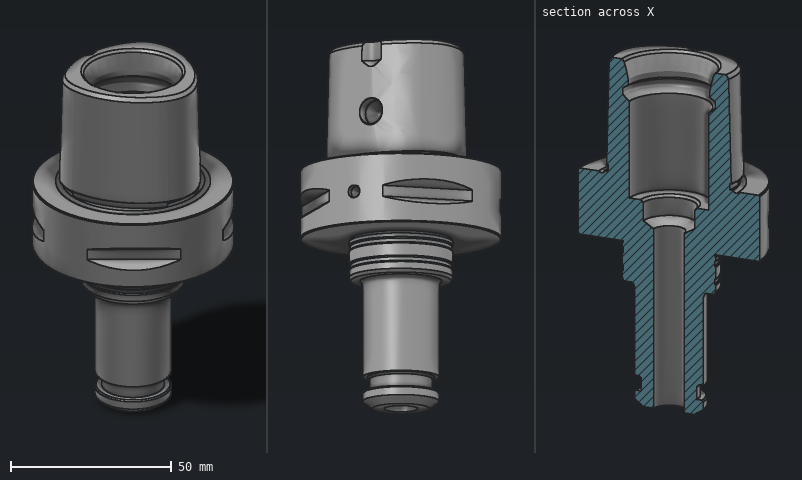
import cadquery as cq
import math

TOTAL_HEIGHT = 113.5
FLANGE_BOTTOM = 53.6
FLANGE_TOP = 75.5
TAPER_BASE = 77.7
COLLAR_BOTTOM = 40.4

FLANGE_R = 63.0 / 2
FLANGE_EDGE = 0.3
COLLAR_R = 32.5 / 2
SHANK_R = 24.0 / 2
NECK_R = 19.5 / 2
TIP_R = 17.8 / 2
THROUGH_R = 10.5 / 2

POLYGON_R = 22.0
LOBE_HEIGHT = 1.4
TAPER_SLOPE = 1 / 40
TOP_CHAMFER_HEIGHT = 1.4
TOP_CHAMFER_WIDTH = 0.9
SKIRT_STEP = 0.5
LOBE_SPACING = 120
LOBE_HALF_ANGLE = math.radians(27)
SECTOR_STEPS = 6
DRILL_TIP_SLOPE = math.tan(math.radians(31))


def polygon_point(radius, angle):
    """Point on the three-lobed curve where the outward normal has this angle."""
    reach = radius + LOBE_HEIGHT * math.cos(3 * angle)
    slide = -3 * LOBE_HEIGHT * math.sin(3 * angle)
    return (reach * math.cos(angle) - slide * math.sin(angle),
            reach * math.sin(angle) + slide * math.cos(angle))


def polygon_outline(radius, height):
    """Closed three-lobed outline, split where each lobe meets a flat."""
    third = math.radians(LOBE_SPACING)
    outline = cq.Workplane("XY", origin=(0, 0, height))
    outline = outline.moveTo(*polygon_point(radius, -LOBE_HALF_ANGLE))
    for lobe in range(3):
        middle = lobe * third
        lobe_start = middle - LOBE_HALF_ANGLE
        lobe_end = middle + LOBE_HALF_ANGLE
        for start, end in ((lobe_start, lobe_end), (lobe_end, lobe_start + third)):
            angles = [start + (end - start) * step / SECTOR_STEPS for step in range(1, SECTOR_STEPS + 1)]
            points = [polygon_point(radius, angle) for angle in angles]
            tangents = [(-math.sin(angle), math.cos(angle)) for angle in (start, end)]
            outline = outline.spline(points, tangents=tangents, includeCurrent=True)
    return outline.close().wires().val()


def polygon_loft(bottom_radius, bottom, top_radius, top):
    wires = [polygon_outline(bottom_radius, bottom), polygon_outline(top_radius, top)]
    return cq.Workplane(obj=cq.Solid.makeLoft(wires, True))


def spin(profile):
    """Turn a profile drawn in the XZ plane about the Z axis."""
    return profile.close().revolve(360, (0, 0), (0, 1))


def turned(points):
    """Solid turned about Z from (radius, height) points, closed along the axis."""
    profile = [(0, points[0][1])] + points + [(0, points[-1][1])]
    return spin(cq.Workplane("XZ").polyline(profile))


def tangent_arc_radius(width, height):
    """Radius of an arc that leaves a vertical wall and drifts this wide over this height."""
    return (width ** 2 + height ** 2) / (2 * width)


SHANK_END = 10.0
NECK_TOP_BLEND = 0.7
HEAD_TOP = 5.2
HEAD_CHAMFER = 0.5
HEAD_SIDE_BOTTOM = 2.3
HEAD_LOWER_EDGE = 0.6
BLEND_WIDTH = 0.8
BLEND_HEIGHT = 1.9


def make_shank():
    body = turned([
        (TIP_R, 0),
        (SHANK_R - HEAD_LOWER_EDGE, HEAD_SIDE_BOTTOM - HEAD_LOWER_EDGE),
        (SHANK_R, HEAD_SIDE_BOTTOM),
        (SHANK_R, HEAD_TOP - HEAD_CHAMFER),
        (SHANK_R - HEAD_CHAMFER, HEAD_TOP),
        (NECK_R, HEAD_TOP),
        (NECK_R, SHANK_END - NECK_TOP_BLEND),
        (NECK_R + NECK_TOP_BLEND, SHANK_END),
        (SHANK_R, SHANK_END),
        (SHANK_R, COLLAR_BOTTOM),
    ])
    blend = spin(
        cq.Workplane("XZ")
        .moveTo(0, COLLAR_BOTTOM)
        .lineTo(SHANK_R + BLEND_WIDTH, COLLAR_BOTTOM)
        .radiusArc((SHANK_R, COLLAR_BOTTOM - BLEND_HEIGHT), -tangent_arc_radius(BLEND_WIDTH, BLEND_HEIGHT))
        .lineTo(0, COLLAR_BOTTOM - BLEND_HEIGHT)
    )
    return body.union(blend)


COLLAR_CHAMFER_HEIGHT = 1.1
COLLAR_CHAMFER_WIDTH = 0.5
COLLAR_UNDERCUT_HEIGHT = 0.8
RING_GROOVE_DEPTH = 0.3
RING_GROOVE_FLOOR = 1.1
RING_GROOVE_SLOPE = 0.5
RING_GROOVE_HEIGHTS = (44.7, 50.6)


def make_collar():
    floor_r = COLLAR_R - RING_GROOVE_DEPTH
    half_floor = RING_GROOVE_FLOOR / 2
    half_mouth = half_floor + RING_GROOVE_SLOPE
    points = [
        (COLLAR_R - COLLAR_CHAMFER_WIDTH, COLLAR_BOTTOM),
        (COLLAR_R, COLLAR_BOTTOM + COLLAR_CHAMFER_HEIGHT),
    ]
    for height in RING_GROOVE_HEIGHTS:
        points += [
            (COLLAR_R, height - half_mouth),
            (floor_r, height - half_floor),
            (floor_r, height + half_floor),
            (COLLAR_R, height + half_mouth),
        ]
    points += [
        (COLLAR_R, FLANGE_BOTTOM - COLLAR_UNDERCUT_HEIGHT),
        (floor_r, FLANGE_BOTTOM),
    ]
    return turned(points)


SEAT_HEIGHT = 0.3
SEAT_R = 22.4
FACE_GROOVE_R = 24.2
FACE_GROOVE_DEPTH = 0.5


def make_flange():
    groove_middle = (SEAT_R + FACE_GROOVE_R) / 2
    return spin(
        cq.Workplane("XZ")
        .moveTo(0, FLANGE_BOTTOM)
        .lineTo(FLANGE_R - FLANGE_EDGE, FLANGE_BOTTOM)
        .lineTo(FLANGE_R, FLANGE_BOTTOM + FLANGE_EDGE)
        .lineTo(FLANGE_R, FLANGE_TOP - FLANGE_EDGE)
        .lineTo(FLANGE_R - FLANGE_EDGE, FLANGE_TOP)
        .lineTo(FACE_GROOVE_R, FLANGE_TOP)
        .threePointArc((groove_middle, FLANGE_TOP - FACE_GROOVE_DEPTH), (SEAT_R, FLANGE_TOP + SEAT_HEIGHT))
        .lineTo(0, FLANGE_TOP + SEAT_HEIGHT)
    )


SLOT_MIDDLE = 63.5
SLOT_FLOOR_WIDTH = 3.4
SLOT_FLOOR_DISTANCE = 27.9
SLOT_OVERSHOOT = 1.1
SLOT_CORNER = 0.3
SLOT_SIDE_ANGLE = math.radians(29)


def make_gripper_slots():
    outside = FLANGE_R + SLOT_OVERSHOOT
    half_floor = SLOT_FLOOR_WIDTH / 2
    half_bevel = half_floor + SLOT_CORNER
    bevel_end = SLOT_FLOOR_DISTANCE + SLOT_CORNER
    half_mouth = half_bevel + (outside - bevel_end) * math.tan(SLOT_SIDE_ANGLE)
    slot = (
        cq.Workplane("XZ")
        .polyline([
            (SLOT_FLOOR_DISTANCE, SLOT_MIDDLE - half_floor),
            (bevel_end, SLOT_MIDDLE - half_bevel),
            (outside, SLOT_MIDDLE - half_mouth),
            (outside, SLOT_MIDDLE + half_mouth),
            (bevel_end, SLOT_MIDDLE + half_bevel),
            (SLOT_FLOOR_DISTANCE, SLOT_MIDDLE + half_floor),
        ])
        .close()
        .extrude(FLANGE_R, both=True)
    )
    slots = cq.Workplane()
    for angle in (45, 135, 225, 315):
        slots = slots.add(slot.rotate((0, 0, 0), (0, 0, 1), angle))
    return slots.combine()


UNDERCUT_R = 21.3
UNDERCUT_FILLET = 0.6


def make_skirt():
    """Skirt under the taper: full on the three flats, turned back below the lobes."""
    skirt_radius = POLYGON_R - SKIRT_STEP
    skirt = polygon_loft(skirt_radius, FLANGE_TOP, skirt_radius, TAPER_BASE)
    seat = FLANGE_TOP + SEAT_HEIGHT
    kept = spin(
        cq.Workplane("XZ")
        .moveTo(0, FLANGE_TOP)
        .lineTo(UNDERCUT_R + UNDERCUT_FILLET, FLANGE_TOP)
        .lineTo(UNDERCUT_R + UNDERCUT_FILLET, seat)
        .radiusArc((UNDERCUT_R, seat + UNDERCUT_FILLET), UNDERCUT_FILLET)
        .lineTo(POLYGON_R + LOBE_HEIGHT, TAPER_BASE)
        .lineTo(0, TAPER_BASE)
    )
    corner_x, corner_y = polygon_point(skirt_radius, LOBE_HALF_ANGLE)
    lobe_reach = math.degrees(math.atan2(corner_y, corner_x))
    side_length = 2 * FLANGE_R
    for lobe in range(3):
        flat_start = LOBE_SPACING * lobe + lobe_reach
        flat_end = LOBE_SPACING * (lobe + 1) - lobe_reach
        wedge = (
            cq.Workplane("XY", origin=(0, 0, FLANGE_TOP))
            .polarLine(side_length, flat_start)
            .polarLineTo(side_length, flat_end)
            .close()
            .extrude(TAPER_BASE - FLANGE_TOP)
        )
        kept = kept.union(wedge)
    return skirt.intersect(kept)


def make_polygon():
    chamfer_bottom = TOTAL_HEIGHT - TOP_CHAMFER_HEIGHT
    upper_radius = POLYGON_R - (chamfer_bottom - TAPER_BASE) * TAPER_SLOPE
    side = polygon_loft(POLYGON_R, TAPER_BASE, upper_radius, chamfer_bottom)
    chamfer = polygon_loft(upper_radius, chamfer_bottom, upper_radius - TOP_CHAMFER_WIDTH, TOTAL_HEIGHT)
    return side.union(chamfer).union(make_skirt())


MOUTH_R = 32.5 / 2
FLARE_R = 30.9 / 2
LIP_R = 28.0 / 2
CLAMP_GROOVE_R = 32.0 / 2
BORE_R = 27.4 / 2
SEAT_HOLE_R = 19.5 / 2
PILOT_R = 17.8 / 2
FLARE_TOP = 112.6
LIP_TOP = 107.0
LIP_BOTTOM = 105.1
CLAMP_WALL_TOP = 103.9
CLAMP_WALL_BOTTOM = 102.6
CLAMP_FILLET_WIDTH = 0.7
CLAMP_FILLET_HEIGHT = 1.4
BORE_TOP = 99.9
BORE_FLOOR = 68.1
PILOT_CONE_TOP = 61.3


def make_bore():
    cone_bottom = PILOT_CONE_TOP - (PILOT_R - THROUGH_R) * DRILL_TIP_SLOPE
    fillet_end = (CLAMP_GROOVE_R - CLAMP_FILLET_WIDTH, CLAMP_WALL_BOTTOM - CLAMP_FILLET_HEIGHT)
    fillet_r = tangent_arc_radius(CLAMP_FILLET_WIDTH, CLAMP_FILLET_HEIGHT)
    return spin(
        cq.Workplane("XZ")
        .lineTo(0, TOTAL_HEIGHT)
        .lineTo(MOUTH_R, TOTAL_HEIGHT)
        .lineTo(FLARE_R, FLARE_TOP)
        .lineTo(LIP_R, LIP_TOP)
        .lineTo(LIP_R, LIP_BOTTOM)
        .lineTo(CLAMP_GROOVE_R, CLAMP_WALL_TOP)
        .lineTo(CLAMP_GROOVE_R, CLAMP_WALL_BOTTOM)
        .radiusArc(fillet_end, fillet_r)
        .lineTo(BORE_R, BORE_TOP)
        .lineTo(BORE_R, BORE_FLOOR)
        .lineTo(SEAT_HOLE_R, BORE_FLOOR)
        .lineTo(PILOT_R, BORE_FLOOR - (SEAT_HOLE_R - PILOT_R))
        .lineTo(PILOT_R, PILOT_CONE_TOP)
        .lineTo(THROUGH_R, cone_bottom)
        .lineTo(THROUGH_R, 0)
    )


DRIVE_HOLE_D = 8.1
DRIVE_HOLE_HEIGHT = 91.1
DRIVE_HOLE_EDGE = 0.2
DRIVE_HOLE_DEPTH = 4.2
FLANGE_HOLE_D = 4.0
FLANGE_HOLE_HEIGHT = 63.8
FLANGE_HOLE_DEPTH = 1.9
NOTCH_R = 8.1 / 2
NOTCH_AXIS = 21.8
NOTCH_BOTTOM = 107.5


def make_side_hole(diameter, surface, depth, height):
    """Blind drilled hole in the -X side, whose surface lies this far from the axis."""
    radius = diameter / 2
    tip_height = radius * DRILL_TIP_SLOPE
    barrel_end = surface - depth
    barrel = (
        cq.Workplane("YZ", origin=(-FLANGE_R, 0, height))
        .circle(radius)
        .extrude(FLANGE_R - barrel_end)
    )
    tip = cq.Solid.makeCone(
        radius, 0, tip_height,
        pnt=cq.Vector(-barrel_end, 0, height), dir=cq.Vector(1, 0, 0),
    )
    return barrel.union(cq.Workplane(obj=tip))


def make_notch():
    """Vertical round-bottomed notch in the rim, ending in a drill cone."""
    cone_bottom = NOTCH_BOTTOM - NOTCH_R
    cone = cq.Solid.makeCone(0, NOTCH_R, NOTCH_R, pnt=cq.Vector(-NOTCH_AXIS, 0, cone_bottom))
    barrel = cq.Workplane("XY", origin=(-NOTCH_AXIS, 0, NOTCH_BOTTOM)).circle(NOTCH_R)
    return barrel.extrude(TOTAL_HEIGHT - NOTCH_BOTTOM).union(cq.Workplane(obj=cone))


def make_countersink(diameter, surface, width, height):
    """45-degree edge break around a hole in the -X side."""
    radius = diameter / 2
    cone = cq.Solid.makeCone(
        radius, radius + 2 * width, 2 * width,
        pnt=cq.Vector(width - surface, 0, height), dir=cq.Vector(-1, 0, 0),
    )
    return cq.Workplane(obj=cone)


drive_hole_surface = POLYGON_R - LOBE_HEIGHT - (DRIVE_HOLE_HEIGHT - TAPER_BASE) * TAPER_SLOPE

result = (
    make_shank()
    .union(make_collar())
    .union(make_flange())
    .union(make_polygon())
    .cut(make_gripper_slots())
    .cut(make_bore())
    .cut(make_side_hole(DRIVE_HOLE_D, drive_hole_surface, DRIVE_HOLE_DEPTH, DRIVE_HOLE_HEIGHT))
    .cut(make_countersink(DRIVE_HOLE_D, drive_hole_surface, DRIVE_HOLE_EDGE, DRIVE_HOLE_HEIGHT))
    .cut(make_side_hole(FLANGE_HOLE_D, FLANGE_R, FLANGE_HOLE_DEPTH, FLANGE_HOLE_HEIGHT))
    .cut(make_notch())
)